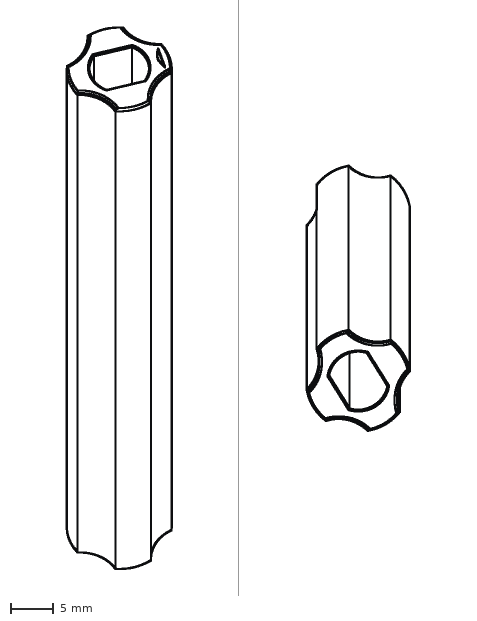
import cadquery as cq
import math

length = 90.6
outer_diameter = 12.5

lobe_count = 4
lobe_width = 4.4
flute_floor_radius = 5.0
end_chamfer_height = 0.4
end_chamfer_inset = 0.23

bore_diameter = 7.1
bore_flat_width = 5.3
bore_chamfer = 0.2

mark_length = 2.9
mark_flat_y = 5.3
mark_middle_width = 0.45
mark_depth = 0.4

outer_radius = outer_diameter / 2


def polar_point(radius, angle):
    """Point at a radius and an angle in degrees from the +X axis."""
    return (radius * math.cos(math.radians(angle)), radius * math.sin(math.radians(angle)))


def make_fluted_bar():
    """Bar with a round-ended lobe on each axis and a concave flute between lobes."""
    lobe_pitch = 360 / lobe_count
    lobe_half_angle = math.degrees(math.asin(lobe_width / 2 / outer_radius))
    profile = cq.Workplane("XY").moveTo(*polar_point(outer_radius, -lobe_half_angle))
    for index in range(lobe_count):
        lobe_angle = index * lobe_pitch
        profile = profile.threePointArc(
            polar_point(outer_radius, lobe_angle),
            polar_point(outer_radius, lobe_angle + lobe_half_angle),
        )
        profile = profile.threePointArc(
            polar_point(flute_floor_radius, lobe_angle + lobe_pitch / 2),
            polar_point(outer_radius, lobe_angle + lobe_pitch - lobe_half_angle),
        )
    bar = profile.close().extrude(length)
    return bar.faces("<Z or >Z").chamfer(end_chamfer_height, end_chamfer_inset)


def make_bore():
    """Through bore with two flats facing along X."""
    cylinder = cq.Workplane("XY").circle(bore_diameter / 2).extrude(length)
    flats = cq.Workplane("XY").rect(bore_flat_width, bore_diameter).extrude(length)
    return cylinder.intersect(flats)


def make_mark():
    """Segment-shaped pocket: straight on its outer side, bowed towards the bore."""
    return (
        cq.Workplane("XY", origin=(0, 0, length - mark_depth))
        .moveTo(-mark_length / 2, mark_flat_y)
        .threePointArc((0, mark_flat_y - mark_middle_width), (mark_length / 2, mark_flat_y))
        .close()
        .extrude(mark_depth)
    )


def chamfer_bore_mouths(bar):
    """Widen both bore mouths; only edges centred within the bore diameter are cut."""
    reach = bore_diameter / 2
    bore_zone = cq.selectors.BoxSelector(
        (-reach, -reach, -reach),
        (reach, reach, length + reach),
    )
    return bar.faces("<Z or >Z").edges(bore_zone).chamfer(bore_chamfer)


bored_bar = make_fluted_bar().cut(make_bore())
result = chamfer_bore_mouths(bored_bar).cut(make_mark())